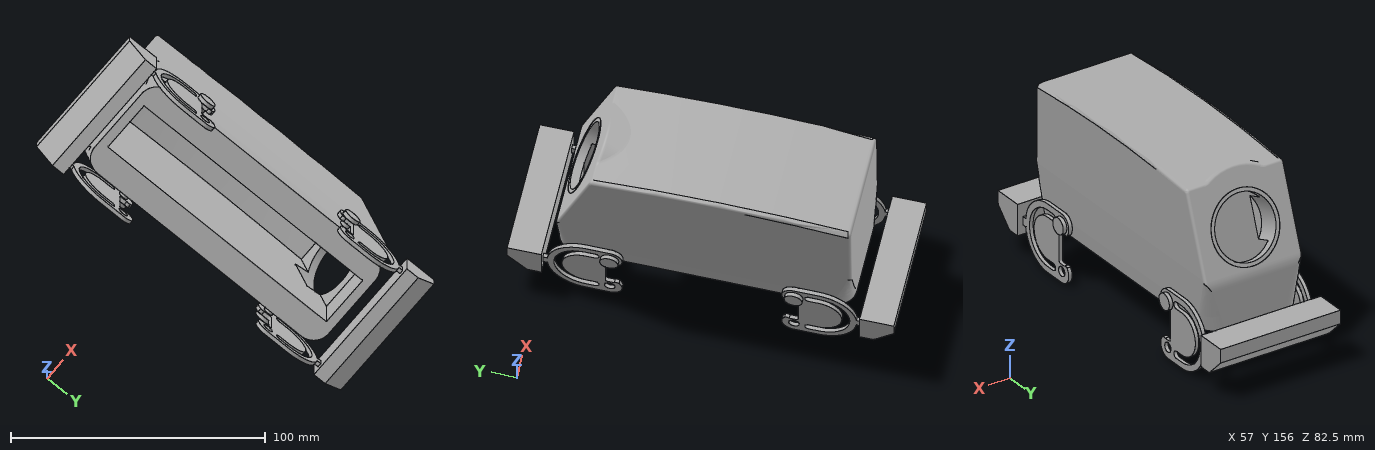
import cadquery as cq
import math

half_width = 23.1
half_length = 59.9
front_draft = 0.5
crown_z = 61.3
crown_y = -7.2
front_top_z = 59.0
slope_start_z = 20.6
slope_angle = 20
bend_radius = 13.3
edge_radius = 1.9
end_edge_radius = 1.2
end_wall = 3.9
cavity_half_width = 11.0

waist_z = 23.5
skirt_section = (0, 22.0, 7.6)
break_section = (6.5, 22.5, 6.4)
middle_section = (15.1, 22.8, 3.7)
waist_section = (waist_z, half_width, 1.5)

port_height = 38.5
boss_radius = 26.2
boss_length = 37.5
boss_floor_z = 57.0
port_radius = 14.2
port_depth = 10.9
seat_radius = 15.9
seat_depth = 0.2

lever_outer_x = 25.9
lever_thickness = 1.7
lever_mid_z = -4.4
lever_radius = 15.5
bow_y = 47.0
pivot_y = 37.1
lobe_radius = 5.0
throat_y = 38.8
throat_depth = 15.6
throat_half_height = 7.2
throat_radius = 0.8
tip_radius = 1.4
tip_offset_y = 2.8
lever_hole_diameter = 4.2
slot_radius = 11.0
slot_width = 3.1
slot_end_y = 41.5
pin_diameter = 4.0
pin_head_diameter = 7.3
pin_head_x = 27.6
pin_root_x = 20.3

handle_width = 57.0
handle_end_y = 78.0
handle_start_y = 64.1
handle_top_z = 3.7
handle_bottom_z = -10.5
handle_bevel = 8.1
arm_height = 3.7
arm_overlap = 1.5

meeting_steps = 20

slope = math.tan(math.radians(slope_angle))
lobe_offset_z = lever_radius - lobe_radius
crown_radius = ((crown_y + half_length) ** 2 / (crown_z - front_top_z) + crown_z - front_top_z) / 2


def slope_y(z):
    """Y of the sloping end face at height z."""
    return half_length - (z - slope_start_z) * slope


def crown_height(y):
    """Z of the crowned top at position y."""
    return crown_z - crown_radius + math.sqrt(crown_radius ** 2 - (y - crown_y) ** 2)


def centred_prism(profile, half):
    """Closed YZ profile extruded to both sides of X = 0."""
    return profile.close().extrude(half, both=True)


def slope_top(inset):
    """Point (y, z) where the sloping face meets the top, both moved inwards by inset."""
    z = crown_z
    for _ in range(meeting_steps):
        y = slope_y(z) - inset / math.cos(math.radians(slope_angle))
        z = crown_height(y) - inset
    return y, z


def port_plane():
    normal = (0, 1, slope)
    return cq.Plane(origin=(0, slope_y(port_height), port_height), xDir=(1, 0, 0), normal=normal)


def hood_block():
    profile = (
        cq.Workplane("YZ")
        .moveTo(-half_length, 0)
        .lineTo(-half_length + front_draft, front_top_z)
        .threePointArc((crown_y, crown_z), slope_top(0))
        .lineTo(half_length, slope_start_z)
        .lineTo(half_length, 0)
    )
    block = centred_prism(profile, half_width)
    return block.edges("|X").filter(is_bend_edge).fillet(bend_radius)


def is_bend_edge(edge):
    """True for the edge where the sloping end meets the upright base."""
    return 0 < edge.Center().z < waist_z


def boss():
    """Round boss along the port axis, kept only where it rises through the top."""
    keep = block_above(boss_floor_z)
    cylinder = cq.Workplane(port_plane()).circle(boss_radius).extrude(-boss_length)
    return cylinder.intersect(keep)


def block_above(z):
    """Block larger than the hood, from height z upwards."""
    return cq.Workplane("XY", origin=(0, 0, z)).rect(4 * half_width, 4 * half_length).extrude(crown_z)


def rounded_section(section):
    z, half, radius = section
    outline = cq.Sketch().rect(2 * half, 2 * half_length).vertices().fillet(radius)
    return outline.moved(cq.Location(cq.Vector(0, 0, z)))


def loft_through(*sections):
    return cq.Workplane("XY").placeSketch(*[rounded_section(section) for section in sections]).loft()


def base_envelope():
    """Rounded base up to the waist, with a plain block above it."""
    skirt = loft_through(skirt_section, break_section)
    shoulder = loft_through(break_section, middle_section, waist_section)
    return skirt.union(shoulder).union(block_above(waist_z))


def cavity():
    end_y, end_z = slope_top(end_wall)
    inner_end = half_length - end_wall
    profile = (
        cq.Workplane("YZ")
        .moveTo(-inner_end, 0)
        .lineTo(-inner_end, front_top_z - end_wall)
        .threePointArc((crown_y, crown_z - end_wall), (end_y, end_z))
        .lineTo(inner_end, end_z - (inner_end - end_y) / slope)
        .lineTo(inner_end, 0)
    )
    return centred_prism(profile, cavity_half_width)


def port_hole():
    """Cable entry bore with a shallow seat around its mouth."""
    seat = cq.Workplane(port_plane()).circle(seat_radius).extrude(-seat_depth)
    bore = cq.Workplane(port_plane()).circle(port_radius).extrude(-port_depth)
    return seat.union(bore)


def rounded_hood_block():
    """Hood block and boss with every edge rounded except the base rim."""
    block = hood_block().union(boss())
    block = block.edges().filter(is_top_edge).fillet(edge_radius)
    return block.edges("not (|X or |Y)").filter(is_end_edge).fillet(end_edge_radius)


def is_top_edge(edge):
    return edge.BoundingBox().zmin > front_top_z - edge_radius


def is_end_edge(edge):
    """True for the edges of the -Y and +Y end faces, from the rim to the top rounding."""
    return edge.BoundingBox().zmin < front_top_z - 2 * edge_radius


def hood():
    return rounded_hood_block().intersect(base_envelope()).cut(cavity()).cut(port_hole())


def lever():
    """Lever plate at the +X side of the +Y end."""
    start = cq.Workplane("YZ", origin=(lever_outer_x - lever_thickness, 0, 0))
    plate = lever_blank(start).cut(throat(start)).union(tips(start))
    return plate.cut(lever_hole(start)).cut(lever_slot(start))


def lever_blank(start):
    """Half-round plate with a lobe at each end of its straight side."""
    bow = (
        start.moveTo(pivot_y, lever_mid_z + lever_radius)
        .lineTo(bow_y, lever_mid_z + lever_radius)
        .threePointArc((bow_y + lever_radius, lever_mid_z), (bow_y, lever_mid_z - lever_radius))
        .lineTo(pivot_y, lever_mid_z - lever_radius)
        .close()
        .extrude(lever_thickness)
    )
    lobe_centres = [(pivot_y, lever_mid_z + side * lobe_offset_z) for side in (1, -1)]
    return bow.union(start.pushPoints(lobe_centres).circle(lobe_radius).extrude(lever_thickness))


def throat(start):
    """Gap between the two lobes, open towards the middle of the hood."""
    return (
        start.center(throat_y - throat_depth / 2, lever_mid_z)
        .rect(throat_depth, 2 * throat_half_height)
        .extrude(lever_thickness)
        .edges("|X and >Y")
        .fillet(throat_radius)
    )


def tips(start):
    """Small rounded tips that touch the lobe circles from inside and reach into the throat."""
    drop = math.sqrt((lobe_radius - tip_radius) ** 2 - tip_offset_y ** 2)
    centres = [(pivot_y - tip_offset_y, lever_mid_z + side * (lobe_offset_z - drop)) for side in (1, -1)]
    return start.pushPoints(centres).circle(tip_radius).extrude(lever_thickness)


def lever_hole(start):
    return (
        start.center(pivot_y, lever_mid_z - lobe_offset_z)
        .circle(lever_hole_diameter / 2)
        .extrude(lever_thickness)
    )


def lever_slot(start):
    """C-shaped slot that follows the bow of the lever."""
    outer = slot_radius + slot_width / 2
    inner = slot_radius - slot_width / 2
    top_outer, top_inner = lever_mid_z + outer, lever_mid_z + inner
    bottom_outer, bottom_inner = lever_mid_z - outer, lever_mid_z - inner
    end_y = slot_end_y + slot_width / 2
    return (
        start.moveTo(end_y, top_outer)
        .lineTo(bow_y, top_outer)
        .threePointArc((bow_y + outer, lever_mid_z), (bow_y, bottom_outer))
        .lineTo(end_y, bottom_outer)
        .threePointArc((slot_end_y, lever_mid_z - slot_radius), (end_y, bottom_inner))
        .lineTo(bow_y, bottom_inner)
        .threePointArc((bow_y + inner, lever_mid_z), (bow_y, top_inner))
        .lineTo(end_y, top_inner)
        .threePointArc((slot_end_y, lever_mid_z + slot_radius), (end_y, top_outer))
        .close()
        .extrude(lever_thickness)
    )


def lever_arm():
    """Short bar that carries the handle on the lever."""
    inner_end = bow_y + lever_radius - arm_overlap
    length = handle_start_y - inner_end + arm_overlap
    return cq.Workplane("XY").box(lever_thickness, length, arm_height).translate(
        (lever_outer_x - lever_thickness / 2, inner_end + length / 2, lever_mid_z)
    )


def pivot_pin():
    pivot_z = lever_mid_z + lobe_offset_z
    root = cq.Workplane("YZ", origin=(pin_root_x, pivot_y, pivot_z))
    shank = root.circle(pin_diameter / 2).extrude(lever_outer_x - pin_root_x)
    return shank.faces(">X").workplane().circle(pin_head_diameter / 2).extrude(pin_head_x - lever_outer_x)


def handle():
    profile = (
        cq.Workplane("YZ")
        .moveTo(handle_start_y, handle_top_z)
        .lineTo(handle_end_y, handle_top_z)
        .lineTo(handle_end_y, handle_bottom_z + handle_bevel)
        .lineTo(handle_end_y - handle_bevel, handle_bottom_z)
        .lineTo(handle_start_y, handle_bottom_z)
    )
    return centred_prism(profile, handle_width / 2)


def locking_bow():
    """Handle with its two levers and pivot pins at the +Y end."""
    side = lever().union(lever_arm()).union(pivot_pin())
    return handle().union(side).union(side.mirror("YZ"))


bow = locking_bow()
result = hood().union(bow).union(bow.mirror("XZ"))